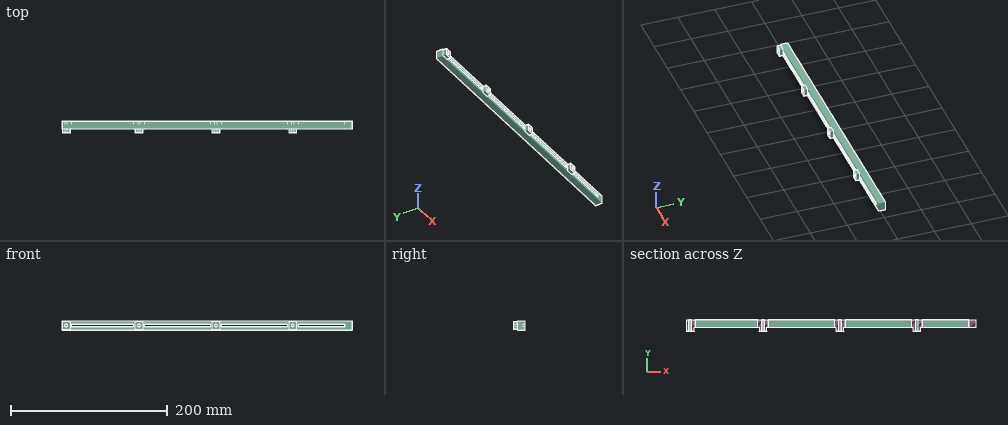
import cadquery as cq

BAR_LENGTH = 370.0
BAR_DEPTH = 10.0
BAR_HEIGHT = 12.0
BAR_EDGE_RADIUS = 0.5

PAD_SIZE = 10.0
PAD_PROJECTION = 5.0
PAD_CORNER_RADIUS = 0.5
PAD_PITCH = 98.0
LATER_PAD_COUNT = 3
FIRST_PAD = BAR_EDGE_RADIUS + PAD_SIZE / 2
LATER_PADS = [n * PAD_PITCH for n in range(1, LATER_PAD_COUNT + 1)]
PAD_CENTERS = [FIRST_PAD] + LATER_PADS

HOLE_DIAMETER = 3.0
FIRST_HOLE = 5.0
HOLE_CENTERS = [FIRST_HOLE] + LATER_PADS

SLOT_WIDTH = 3.0
PAD_TO_SLOT = 2.0
FIRST_SLOT_START = 12.0
END_MARGIN = 10.0
PAD_CLEARANCE = PAD_SIZE / 2 + PAD_TO_SLOT
SLOT_STARTS = [FIRST_SLOT_START] + [center + PAD_CLEARANCE for center in LATER_PADS]
SLOT_ENDS = [center - PAD_CLEARANCE for center in LATER_PADS] + [BAR_LENGTH - END_MARGIN]

MID_HEIGHT = BAR_HEIGHT / 2
TOTAL_DEPTH = BAR_DEPTH + PAD_PROJECTION


def make_bar():
    """Bar with all its outer edges rounded."""
    bar = cq.Workplane("XY").box(BAR_LENGTH, BAR_DEPTH, BAR_HEIGHT, centered=False)
    return bar.edges().fillet(BAR_EDGE_RADIUS)


def make_pad(center_x):
    """Square pad on the front face with rounded corners, centred on the bar height."""
    return (
        cq.Workplane("XY")
        .box(PAD_SIZE, PAD_PROJECTION, PAD_SIZE)
        .edges("|Y")
        .fillet(PAD_CORNER_RADIUS)
        .translate((center_x, -PAD_PROJECTION / 2, MID_HEIGHT))
    )


def front_plane():
    """Sketch plane on the pad tops, with its normal toward -Y."""
    return cq.Workplane("XZ", origin=(0, -PAD_PROJECTION, 0))


def make_hole(center_x):
    """Screw hole through a pad and the bar behind it."""
    return front_plane().center(center_x, MID_HEIGHT).circle(HOLE_DIAMETER / 2).extrude(-TOTAL_DEPTH)


def make_slot(start_x, end_x):
    """Square-ended slot through the full depth of the bar."""
    return (
        front_plane()
        .center((start_x + end_x) / 2, MID_HEIGHT)
        .rect(end_x - start_x, SLOT_WIDTH)
        .extrude(-TOTAL_DEPTH)
    )


result = make_bar()
for pad_center in PAD_CENTERS:
    result = result.union(make_pad(pad_center))
for hole_center in HOLE_CENTERS:
    result = result.cut(make_hole(hole_center))
for slot_start, slot_end in zip(SLOT_STARTS, SLOT_ENDS):
    result = result.cut(make_slot(slot_start, slot_end))